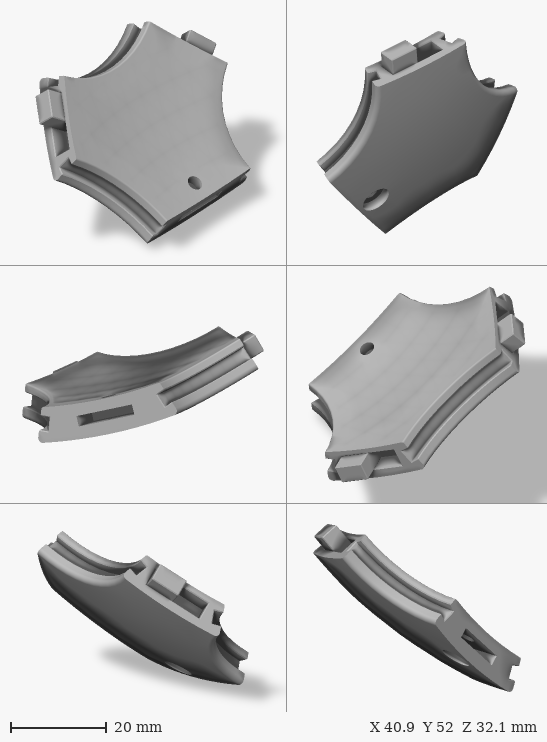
import cadquery as cq
import math


inner_radius = 103.65
shell_thickness = 7.5
opening_radius = 23.85
mirror_azimuth = 198.0

groove_depth = 2.0
groove_width = 3.0
inner_lip = 1.8
inner_lip_round = 0.4
outer_lip_round = 1.0
mouth_chamfer = 0.2

tab_inset = 3.35
tab_length = 6.6
tab_height = 4.05
tab_reach = 3.65
socket_depth = 4.15

bolt_diameter = 3.3
bolt_recess_diameter = 6.35
bolt_recess_depth = 2.2
bolt_setback = 4.05
slot_height = 2.25
slot_length = 12.9
slot_depth = 8.3
bore_depth = 8.85
inner_wall = 2.4

outer_radius = inner_radius + shell_thickness
tab_radius = inner_radius + tab_inset
far = 1.2 * outer_radius
groove_bottom = math.sqrt(inner_radius ** 2 - opening_radius ** 2) + inner_lip
groove_top = groove_bottom + groove_width
groove_radius = opening_radius + groove_depth

golden_ratio = (1 + math.sqrt(5)) / 2
pentagon_polar = math.degrees(math.atan(2))
hexagon_polar = math.degrees(math.acos(math.sqrt((5 + 2 * math.sqrt(5)) / 15)))
edge_polar = math.degrees(math.atan(1 / golden_ratio))
half_edge_angle = math.degrees(math.asin(1 / math.sqrt(9 * golden_ratio + 10)))


def direction(polar, azimuth):
    """Unit vector; polar from -Z, azimuth from the mirror plane."""
    p = math.radians(polar)
    a = math.radians(mirror_azimuth + azimuth)
    return cq.Vector(math.sin(p) * math.cos(a), math.sin(p) * math.sin(a), -math.cos(p))


vertex = direction(edge_polar + half_edge_angle, 0)
pentagon_axis = direction(pentagon_polar, 0)
hexagon_axes = [direction(hexagon_polar, 36), direction(hexagon_polar, -36)]
opening_axes = [pentagon_axis] + hexagon_axes


def joint_plane(first_axis, second_axis, normal, radius):
    """Plane through two opening axes: origin midway between them, local Y pointing outward."""
    outward = (first_axis + second_axis).normalized()
    return cq.Plane(origin=outward * radius, xDir=outward.cross(normal), normal=normal)


def tabbed_joint_planes(radius):
    left_hexagon, right_hexagon = hexagon_axes
    return [
        joint_plane(pentagon_axis, left_hexagon, direction(90 + edge_polar, 72), radius),
        joint_plane(pentagon_axis, right_hexagon, direction(90 + edge_polar, -72), radius),
    ]


def plain_joint_plane(radius):
    return joint_plane(*hexagon_axes, direction(90 - edge_polar, 180), radius)


def shell():
    ball = cq.Workplane("XY").sphere(outer_radius)
    return ball.cut(cq.Workplane("XY").sphere(inner_radius))


def beyond_joint(plane):
    """Everything on the far side of a joint face."""
    return cq.Workplane(plane).rect(2 * far, 2 * far).extrude(far)


def opening_cutter(axis):
    """Round opening with its panel groove and rounded inner and outer rims."""
    inner_r = opening_radius + inner_lip_round
    inner_h = math.sqrt((inner_radius + inner_lip_round) ** 2 - inner_r ** 2)
    outer_r = opening_radius + outer_lip_round
    outer_h = math.sqrt((outer_radius - outer_lip_round) ** 2 - outer_r ** 2)
    inner_stretch = inner_radius / (inner_radius + inner_lip_round)
    outer_stretch = outer_radius / (outer_radius - outer_lip_round)
    far_stretch = far / outer_radius
    inner_bend = math.pi + math.atan2(inner_h, inner_r) / 2
    outer_bend = math.pi / 2 + math.atan2(outer_h, outer_r) / 2
    inner_arc_middle = (
        inner_r + inner_lip_round * math.cos(inner_bend),
        inner_h + inner_lip_round * math.sin(inner_bend),
    )
    outer_arc_middle = (
        outer_r + outer_lip_round * math.cos(outer_bend),
        outer_h + outer_lip_round * math.sin(outer_bend),
    )
    sideways = axis.cross(vertex).normalized()
    profile_plane = cq.Plane(origin=(0, 0, 0), xDir=sideways, normal=sideways.cross(axis))
    return (
        cq.Workplane(profile_plane)
        .lineTo(inner_r * inner_stretch, inner_h * inner_stretch)
        .threePointArc(inner_arc_middle, (opening_radius, inner_h))
        .lineTo(opening_radius, groove_bottom - mouth_chamfer)
        .lineTo(opening_radius + mouth_chamfer, groove_bottom)
        .lineTo(groove_radius, groove_bottom)
        .lineTo(groove_radius, groove_top)
        .lineTo(opening_radius + mouth_chamfer, groove_top)
        .lineTo(opening_radius, groove_top + mouth_chamfer)
        .lineTo(opening_radius, outer_h)
        .threePointArc(outer_arc_middle, (outer_r * outer_stretch, outer_h * outer_stretch))
        .lineTo(outer_r * far_stretch, outer_h * far_stretch)
        .lineTo(0, far)
        .close()
        .revolve(360, (0, 0), (0, 1))
    )


def flared_mouth(workplane, length, height):
    """Chamfer cutter around a rectangular recess in a face; it widens toward the face."""
    flare = 2 * mouth_chamfer
    return workplane.rect(length + flare, height + flare).extrude(-mouth_chamfer, taper=45)


def groove_mouth(plane, axis):
    """Chamfer where the groove around one opening runs out through a joint face."""
    axis_frame = cq.Plane(origin=(0, 0, 0), xDir=axis.cross(plane.zDir), normal=plane.zDir)
    side = math.copysign(1, axis_frame.xDir.dot(plane.yDir))
    groove_section = cq.Workplane(axis_frame).center(
        side * (opening_radius + groove_depth / 2), (groove_bottom + groove_top) / 2
    )
    return flared_mouth(groove_section, groove_depth, groove_width)


def tab(plane):
    body = (
        cq.Workplane(plane)
        .center(tab_length / 2, 0)
        .rect(tab_length, tab_height)
        .extrude(tab_reach + socket_depth)
        .edges()
        .chamfer(mouth_chamfer)
    )
    return body.translate(plane.zDir * -socket_depth)


def socket(plane):
    """Pocket twice as long as the tab that fills one half of it."""
    pocket = cq.Workplane(plane).rect(2 * tab_length, tab_height).extrude(-socket_depth)
    return pocket.union(flared_mouth(cq.Workplane(plane), 2 * tab_length, tab_height))


def bolt_cuts():
    plane = plain_joint_plane(inner_radius + inner_wall + slot_height / 2)
    slot = cq.Workplane(plane).rect(slot_length, slot_height).extrude(-slot_depth)
    axis = (plane.zDir * -bolt_setback + plane.origin).normalized()
    bore_plane = cq.Plane(origin=axis * outer_radius, xDir=plane.xDir, normal=axis * -1)
    bore = cq.Workplane(bore_plane).circle(bolt_diameter / 2).extrude(bore_depth)
    recess = cq.Workplane(bore_plane).circle(bolt_recess_diameter / 2).extrude(bolt_recess_depth)
    return slot.union(bore).union(recess)


result = shell()
first_joint, second_joint = tabbed_joint_planes(0)
joints = [
    (first_joint, [pentagon_axis, hexagon_axes[0]]),
    (second_joint, [pentagon_axis, hexagon_axes[1]]),
    (plain_joint_plane(0), hexagon_axes),
]
for face_plane, _ in joints:
    result = result.cut(beyond_joint(face_plane))
for opening_axis in opening_axes:
    result = result.cut(opening_cutter(opening_axis))
for face_plane, bordering_axes in joints:
    for opening_axis in bordering_axes:
        result = result.cut(groove_mouth(face_plane, opening_axis))
for face_plane in tabbed_joint_planes(tab_radius):
    result = result.cut(socket(face_plane)).union(tab(face_plane))
result = result.cut(bolt_cuts())